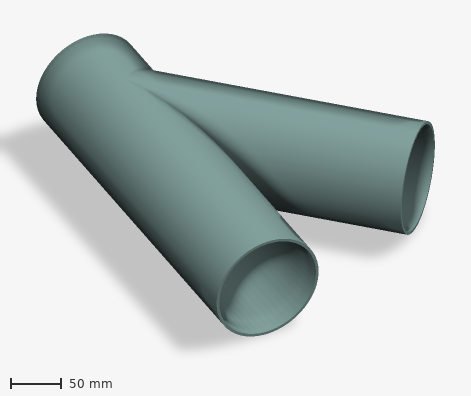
import cadquery as cq
import math

outer_diameter = 114.3
bore_diameter = 108.2

run_length = 381.0
branch_offset = 76.2
branch_length = 304.8
branch_angle = 45.0

branch_direction = cq.Vector(
    math.cos(math.radians(branch_angle)),
    math.sin(math.radians(branch_angle)),
    0,
)
run_start = cq.Vector(-branch_offset, 0, 0)
run_direction = cq.Vector(1, 0, 0)
axes_meeting_point = cq.Vector(0, 0, 0)


def run_cylinder(diameter):
    """Full-length cylinder along the run axis."""
    return cq.Solid.makeCylinder(diameter / 2, run_length, run_start, run_direction)


def branch_cylinder(diameter):
    """Cylinder along the branch axis, starting where the two axes meet."""
    return cq.Solid.makeCylinder(diameter / 2, branch_length, axes_meeting_point, branch_direction)


def lateral(diameter):
    """Run and branch cylinders of one diameter joined into a Y shape."""
    return cq.Workplane(obj=run_cylinder(diameter)).union(cq.Workplane(obj=branch_cylinder(diameter)))


result = lateral(outer_diameter).cut(lateral(bore_diameter))